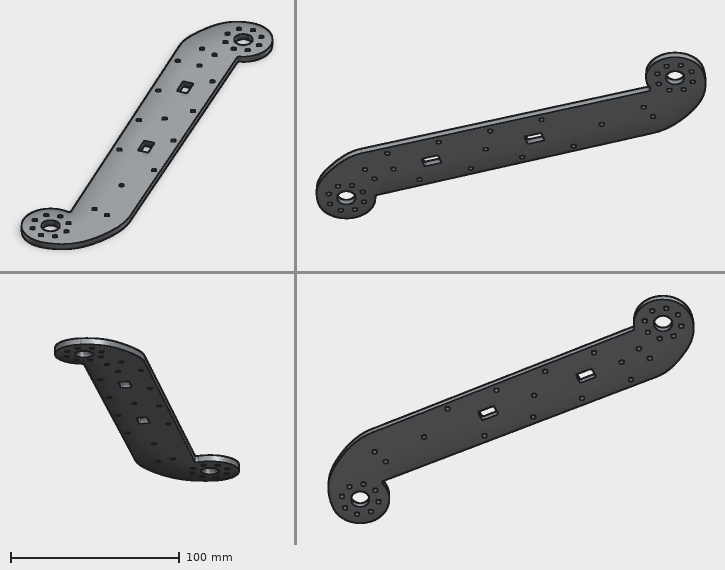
import cadquery as cq
import math

THICKNESS = 4.0
HUB_SPACING = 220.0
HUB_RADIUS = 17.35
HUB_BORE_DIAMETER = 11.0
HUB_BOLT_CIRCLE_RADIUS = 11.0
HUB_BOLT_COUNT = 8
SMALL_HOLE_DIAMETER = 2.8

STRIP_TILT = 10.2
LEFT_EDGE_ANGLE = 10.3
RIGHT_EDGE_ANGLE = 9.7
LEFT_EDGE_AT_ORIGIN = -13.8
RIGHT_EDGE_AT_ORIGIN = 22.1
LEFT_EDGE_TOP_Y = 85.0
RIGHT_EDGE_BOTTOM_Y = -77.0
NECK_FILLET_RADIUS = 1.5

SHOULDER_START_ANGLE = 13.0
UPPER_SHOULDER_MIDDLE = (-25.5, 106.3)
LOWER_SHOULDER_MIDDLE = (31.1, -102.4)

ROW_PITCH = 32.0
ROW_COUNT = 4
ROW_TOPS = [(-9.1, 74.0), (17.6, 62.2)]
CENTRE_HOLES = [(4.6, 74.3), (4.7, 17.0), (5.1, -55.0)]

PAIR_SPACING = 9.6
PAIR_LEAN = -8.0
PAIR_CENTRES = [(-11.3, 88.5), (18.2, -82.7)]

WINDOW_WIDTH = 6.5
WINDOW_LENGTH = 10.5
WINDOW_CORNER_RADIUS = 0.8
WINDOW_CENTRES = [(4.6, 50.8), (4.7, -13.3)]

HUB_CENTRES = [(0, HUB_SPACING / 2), (0, -HUB_SPACING / 2)]


def direction(angle):
    """Unit vector at an angle in degrees from +X."""
    turn = math.radians(angle)
    return (math.cos(turn), math.sin(turn))


def polar_point(centre, radius, angle):
    """Point at a radius and angle from a centre."""
    dx, dy = direction(angle)
    return (centre[0] + radius * dx, centre[1] + radius * dy)


def hub_rim_point(centre, angle):
    """Point on a hub rim, with the angle in degrees from +X."""
    return polar_point(centre, HUB_RADIUS, angle)


def edge_x(x_at_origin, angle, y):
    """X of a strip edge at height y."""
    return x_at_origin - math.tan(math.radians(angle)) * y


def edge_rim_crossing(x_at_origin, angle, centre, toward_origin):
    """Crossing of a strip edge with a hub rim, on the side facing the origin."""
    lean = math.radians(angle)
    offset = edge_x(x_at_origin, angle, centre[1]) * math.cos(lean)
    foot = (offset * math.cos(lean), centre[1] + offset * math.sin(lean))
    half_chord = math.sqrt(HUB_RADIUS ** 2 - offset ** 2)
    return (
        foot[0] - toward_origin * half_chord * math.sin(lean),
        foot[1] + toward_origin * half_chord * math.cos(lean),
    )


def on_strip(across, along):
    """Convert strip coordinates to plate coordinates."""
    cosine, sine = direction(STRIP_TILT)
    return (across * cosine - along * sine, across * sine + along * cosine)


def make_plate():
    upper_hub, lower_hub = HUB_CENTRES
    upper_neck = edge_rim_crossing(RIGHT_EDGE_AT_ORIGIN, RIGHT_EDGE_ANGLE, upper_hub, -1)
    lower_neck = edge_rim_crossing(LEFT_EDGE_AT_ORIGIN, LEFT_EDGE_ANGLE, lower_hub, 1)
    upper_start = hub_rim_point(upper_hub, 90 + SHOULDER_START_ANGLE)
    lower_start = hub_rim_point(lower_hub, -90 + SHOULDER_START_ANGLE)
    left_top = (edge_x(LEFT_EDGE_AT_ORIGIN, LEFT_EDGE_ANGLE, LEFT_EDGE_TOP_Y), LEFT_EDGE_TOP_Y)
    right_bottom = (
        edge_x(RIGHT_EDGE_AT_ORIGIN, RIGHT_EDGE_ANGLE, RIGHT_EDGE_BOTTOM_Y),
        RIGHT_EDGE_BOTTOM_Y,
    )
    plate = (
        cq.Workplane("XY")
        .moveTo(*upper_neck)
        .threePointArc(hub_rim_point(upper_hub, 0), upper_start)
        .spline(
            [UPPER_SHOULDER_MIDDLE, left_top],
            tangents=[direction(180 + SHOULDER_START_ANGLE), direction(-90 + LEFT_EDGE_ANGLE)],
            includeCurrent=True,
        )
        .lineTo(*lower_neck)
        .threePointArc(hub_rim_point(lower_hub, 180), lower_start)
        .spline(
            [LOWER_SHOULDER_MIDDLE, right_bottom],
            tangents=[direction(SHOULDER_START_ANGLE), direction(90 + RIGHT_EDGE_ANGLE)],
            includeCurrent=True,
        )
        .close()
        .extrude(THICKNESS)
    )
    for neck in (upper_neck, lower_neck):
        neck_edge = cq.selectors.NearestToPointSelector((*neck, THICKNESS / 2))
        plate = plate.edges("|Z").edges(neck_edge).fillet(NECK_FILLET_RADIUS)
    return plate


def small_hole_points():
    points = []
    step = 360 / HUB_BOLT_COUNT
    for centre in HUB_CENTRES:
        for index in range(HUB_BOLT_COUNT):
            points.append(polar_point(centre, HUB_BOLT_CIRCLE_RADIUS, index * step))
    for across, along in ROW_TOPS:
        for index in range(ROW_COUNT):
            points.append(on_strip(across, along - index * ROW_PITCH))
    for across, along in CENTRE_HOLES:
        points.append(on_strip(across, along))
    for centre in PAIR_CENTRES:
        for offset in (-PAIR_SPACING / 2, PAIR_SPACING / 2):
            points.append(polar_point(centre, offset, PAIR_LEAN))
    return points


def cut_holes(plate):
    plane = plate.faces(">Z").workplane(origin=(0, 0, THICKNESS))
    plate = plane.pushPoints(HUB_CENTRES).hole(HUB_BORE_DIAMETER)
    plane = plate.faces(">Z").workplane(origin=(0, 0, THICKNESS))
    return plane.pushPoints(small_hole_points()).hole(SMALL_HOLE_DIAMETER)


def make_window(across, along):
    return (
        cq.Workplane("XY")
        .rect(WINDOW_WIDTH, WINDOW_LENGTH)
        .extrude(THICKNESS)
        .edges("|Z")
        .fillet(WINDOW_CORNER_RADIUS)
        .rotate((0, 0, 0), (0, 0, 1), STRIP_TILT)
        .translate((*on_strip(across, along), 0))
    )


result = cut_holes(make_plate())
for window_centre in WINDOW_CENTRES:
    result = result.cut(make_window(*window_centre))